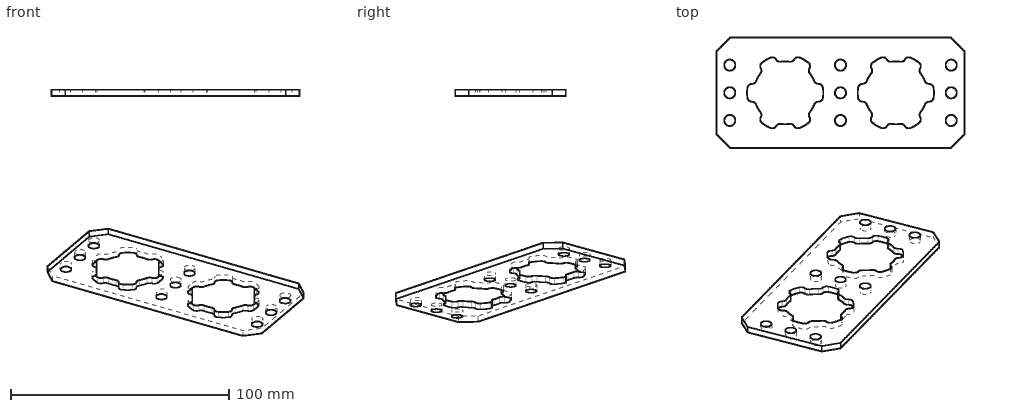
import cadquery as cq
import math

length = 113.8
width = 50.8
thickness = 3.0
bottom_z = -thickness / 2
pitch = width / 4
corner_chamfer = pitch / 2

hole_diameter = 5.0
hole_columns = (-4 * pitch, 0, 4 * pitch)
hole_rows = (-pitch, 0, pitch)

opening_centers = (-2 * pitch, 2 * pitch)
lobe_count = 6
core_radius = 14.3
lobe_radius = 17.4
lobe_width = 8.1
root_fillet = 2.0
tip_fillet = 2.0


def make_plate():
    return (
        cq.Workplane("XY")
        .box(length, width, thickness)
        .edges("|Z")
        .chamfer(corner_chamfer)
    )


def make_mounting_holes():
    centers = [(x, y) for x in hole_columns for y in hole_rows]
    return (
        cq.Workplane("XY", origin=(0, 0, bottom_z))
        .pushPoints(centers)
        .circle(hole_diameter / 2)
        .extrude(thickness)
    )


def polar(radius, angle):
    return (radius * math.cos(angle), radius * math.sin(angle))


def distance_from_axis(edge):
    center = edge.Center()
    return math.hypot(center.x, center.y)


def make_lobed_cutter():
    """Cutter for one opening, centred on the origin, with a lobe along +X."""
    lobe_step = 2 * math.pi / lobe_count
    root_angle = math.asin(lobe_width / 2 / core_radius)
    tip_angle = math.asin(lobe_width / 2 / lobe_radius)

    outline = cq.Workplane("XY", origin=(0, 0, bottom_z)).moveTo(*polar(core_radius, -root_angle))
    for index in range(lobe_count):
        axis = index * lobe_step
        next_axis = axis + lobe_step
        outline = (
            outline
            .lineTo(*polar(lobe_radius, axis - tip_angle))
            .threePointArc(polar(lobe_radius, axis), polar(lobe_radius, axis + tip_angle))
            .lineTo(*polar(core_radius, axis + root_angle))
            .threePointArc(
                polar(core_radius, axis + lobe_step / 2),
                polar(core_radius, next_axis - root_angle),
            )
        )
    cutter = outline.close().extrude(thickness)

    split_radius = (core_radius + lobe_radius) / 2
    corners = cutter.edges("|Z").vals()
    roots = [edge for edge in corners if distance_from_axis(edge) < split_radius]
    tips = [edge for edge in corners if distance_from_axis(edge) > split_radius]
    cutter = cutter.newObject(roots).fillet(root_fillet)
    return cutter.newObject(tips).fillet(tip_fillet)


result = make_plate().cut(make_mounting_holes())
lobed_cutter = make_lobed_cutter()
for center_x in opening_centers:
    result = result.cut(lobed_cutter.translate((center_x, 0, 0)))